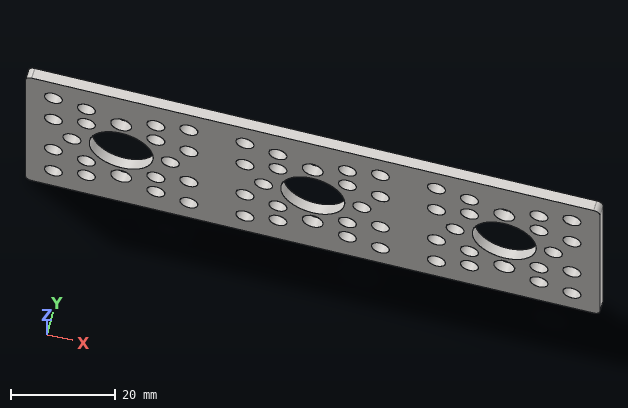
import cadquery as cq
import math

length = 114.3
thickness = 2.3
pattern_count = 3
pitch = length / pattern_count
height = pitch
corner_radius = 1.3

hub_bore = 12.7
small_hole = 3.5
pin_hole = 4.1

bolt_circle_diameter = 19.5
bolt_circle_radius = bolt_circle_diameter / 2
bolt_diagonal = bolt_circle_radius * math.sqrt(0.5)
outer_row_z = 12.2
outer_diagonal = pitch / 2 * math.sqrt(0.5)
side_column_z = 5.6
pin_hole_z = pitch / 4


def mirrored(x, z):
    """The point repeated in all four quadrants."""
    return [(sx * x, sz * z) for sx in (-1, 1) for sz in (-1, 1)]


small_hole_places = (
    mirrored(bolt_diagonal, bolt_diagonal)
    + mirrored(bolt_diagonal, outer_row_z)
    + mirrored(outer_diagonal, outer_diagonal)
    + mirrored(outer_diagonal, side_column_z)
    + [(-bolt_circle_radius, 0), (bolt_circle_radius, 0)]
)
pin_hole_places = [(0, -pin_hole_z), (0, pin_hole_z)]


def make_plate():
    """Flat plate with its four corners rounded."""
    return cq.Workplane("XY").box(length, thickness, height).edges("|Y").fillet(corner_radius)


def drill_holes(plate, places, diameter):
    """Cut round holes through the plate along Y."""
    face = plate.faces("<Y").workplane(origin=(0, 0, 0))
    return face.pushPoints(places).circle(diameter / 2).cutThruAll()


result = make_plate()
for index in range(pattern_count):
    center_x = (index - (pattern_count - 1) / 2) * pitch
    for places, diameter in (
        ([(0, 0)], hub_bore),
        (small_hole_places, small_hole),
        (pin_hole_places, pin_hole),
    ):
        shifted_places = [(center_x + x, z) for x, z in places]
        result = drill_holes(result, shifted_places, diameter)